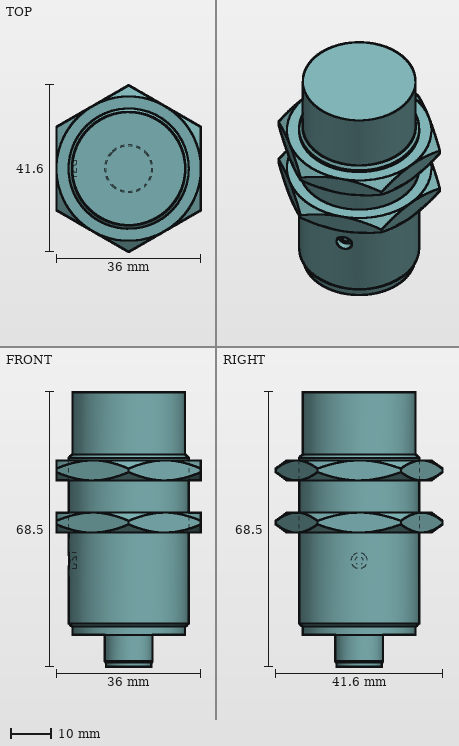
import cadquery as cq
import math

total_height = 68.5
plug_diameter = 12.0
plug_tip_diameter = 11.4
plug_tip_height = 1.1
plug_taper_top = 1.45
plug_height = 8.0
collar_diameter = 28.15
collar_top = 10.1
barrel_diameter = 30.0
barrel_top = 52.95
cap_diameter = 28.15
barrel_end_diameter = 28.35
barrel_chamfer_height = 0.8

recess_diameter = 4.0
recess_depth = 2.0
recess_height = 26.5
lamp_diameter = 2.0

nut_across_flats = 36.0
nut_thickness = 5.0
nut_corner_drop = 2.05
lower_nut_bottom = 33.5
nut_pitch = 13.0
nut_count = 2


def make_housing():
    plug_radius = plug_diameter / 2
    tip_radius = plug_tip_diameter / 2
    collar_radius = collar_diameter / 2
    barrel_radius = barrel_diameter / 2
    barrel_end_radius = barrel_end_diameter / 2
    cap_radius = cap_diameter / 2
    body = (
        cq.Workplane("XZ")
        .moveTo(0, 0)
        .lineTo(tip_radius, 0)
        .lineTo(tip_radius, plug_tip_height)
        .lineTo(plug_radius, plug_taper_top)
        .lineTo(plug_radius, plug_height)
        .lineTo(collar_radius, plug_height)
        .lineTo(collar_radius, collar_top)
        .lineTo(barrel_end_radius, collar_top)
        .lineTo(barrel_radius, collar_top + barrel_chamfer_height)
        .lineTo(barrel_radius, barrel_top - barrel_chamfer_height)
        .lineTo(barrel_end_radius, barrel_top)
        .lineTo(cap_radius, barrel_top)
        .lineTo(cap_radius, total_height)
        .lineTo(0, total_height)
        .close()
        .revolve(360, (0, 0, 0), (0, 1, 0))
    )
    floor_x = recess_depth - barrel_radius
    recess = (
        cq.Workplane("YZ", origin=(floor_x, 0, recess_height))
        .circle(recess_diameter / 2)
        .extrude(-barrel_radius)
    )
    lamp = cq.Workplane(origin=(floor_x, 0, recess_height)).sphere(lamp_diameter / 2)
    return body.cut(recess).union(lamp)


def make_nut(bottom):
    flat_radius = nut_across_flats / 2
    corner_radius = flat_radius / math.cos(math.pi / 6)
    hexagon = (
        cq.Workplane()
        .polygon(6, 2 * corner_radius)
        .extrude(nut_thickness)
        .rotate((0, 0, 0), (0, 0, 1), 90)
    )
    envelope = (
        cq.Workplane("XZ")
        .moveTo(0, 0)
        .lineTo(flat_radius, 0)
        .lineTo(corner_radius, nut_corner_drop)
        .lineTo(corner_radius, nut_thickness - nut_corner_drop)
        .lineTo(flat_radius, nut_thickness)
        .lineTo(0, nut_thickness)
        .close()
        .revolve(360, (0, 0, 0), (0, 1, 0))
    )
    bore = cq.Workplane().circle(barrel_diameter / 2).extrude(nut_thickness)
    return hexagon.intersect(envelope).cut(bore).translate((0, 0, bottom))


housing = make_housing()
nuts = [make_nut(lower_nut_bottom + index * nut_pitch) for index in range(nut_count)]

result = cq.Compound.makeCompound([housing.val(), *[nut.val() for nut in nuts]])